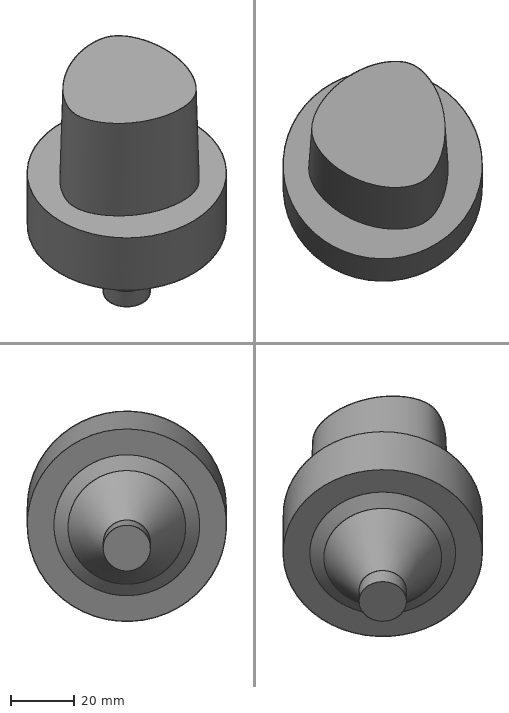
import cadquery as cq
import math

overall_height = 88.0
flange_bottom = 28.0
flange_height = 22.0
flange_top = flange_bottom + flange_height
shank_height = overall_height - flange_top
stub_height = 6.4
cone_top = 25.3

flange_diameter = 63.0
stub_diameter = 15.0
cone_top_diameter = 37.2
shoulder_diameter = 46.1

shank_width = 44.1
eccentricity = 1.4
taper_on_width = 1 / 20
lobe_angle = math.radians(-90)
curve_steps = 72


def turned_body():
    """Stub, nose cone, shoulder and flange as one revolved half-profile."""
    return (
        cq.Workplane("XZ")
        .moveTo(0, 0)
        .lineTo(stub_diameter / 2, 0)
        .lineTo(stub_diameter / 2, stub_height)
        .lineTo(cone_top_diameter / 2, cone_top)
        .lineTo(shoulder_diameter / 2, flange_bottom)
        .lineTo(flange_diameter / 2, flange_bottom)
        .lineTo(flange_diameter / 2, flange_top)
        .lineTo(0, flange_top)
        .close()
        .revolve(360, (0, 0, 0), (0, 1, 0))
    )


def lobed_wire(width, level):
    """Closed curve whose tangent distance varies as width/2 + e*cos(3*angle)."""
    points = []
    for step in range(curve_steps):
        angle = 2 * math.pi * step / curve_steps
        along = width / 2 * math.cos(angle)
        along += eccentricity * (2 * math.cos(2 * angle) - math.cos(4 * angle))
        across = width / 2 * math.sin(angle)
        across -= eccentricity * (2 * math.sin(2 * angle) + math.sin(4 * angle))
        x = along * math.cos(lobe_angle) - across * math.sin(lobe_angle)
        y = along * math.sin(lobe_angle) + across * math.cos(lobe_angle)
        points.append(cq.Vector(x, y, level))
    edge = cq.Edge.makeSpline(points, periodic=True)
    return cq.Wire.assembleEdges([edge])


def lobed_shank():
    """Shank tapering from the flange face to its flat top."""
    top_width = shank_width - taper_on_width * shank_height
    base = lobed_wire(shank_width, flange_top)
    top = lobed_wire(top_width, overall_height)
    return cq.Workplane(obj=cq.Solid.makeLoft([base, top], True))


result = turned_body().union(lobed_shank())